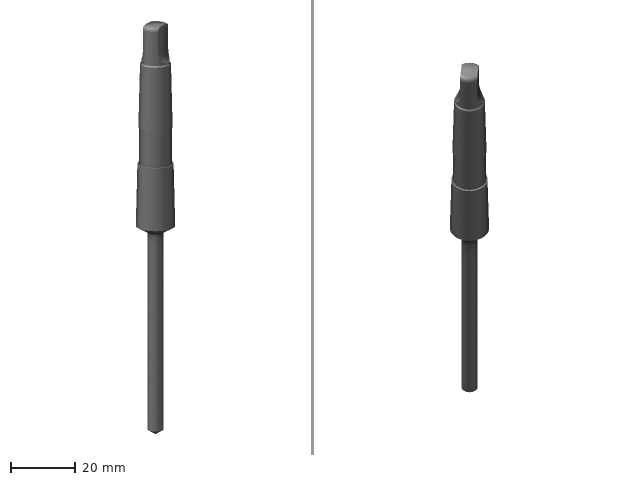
import cadquery as cq
import math

total_length = 133.0
drill_radius = 2.5
point_angle = 118.0
cutting_length = 20.0
drill_length = 55.2
tip_back_taper = 0.03
body_back_taper = 0.03

shank_start = 67.4
shank_radius = 6.1
taper_per_side = 0.025
shoulder_angle = 30.0
relief_radius = 5.0
relief_start = 87.6
relief_end = 99.4
taper_end = 120.0

tang_radius = 4.4
tang_start = 120.4
tang_corner_radius = 1.3
tang_tip_rise = 0.4
tang_half_thickness = 2.7
tang_turn = 14.0
flat_start = 124.5
runout_radius = 5.0
edge_margin = 0.1

relieved_radius = drill_radius - tip_back_taper
neck_radius = relieved_radius - body_back_taper
point_height = drill_radius / math.tan(math.radians(point_angle / 2))
shoulder_height = (shank_radius - neck_radius) * math.tan(math.radians(shoulder_angle))


def taper_radius(height):
    """Radius of the shank cone at a given height."""
    return shank_radius - (height - shank_start) * taper_per_side


def revolve_profile(outline):
    return outline.close().revolve(360, (0, 0, 0), (0, 1, 0))


def make_drill():
    """Pointed drill with a slight two-stage back taper, ending at its joint with the shank."""
    outline = (
        cq.Workplane("XZ")
        .lineTo(drill_radius, point_height)
        .lineTo(relieved_radius, cutting_length)
        .lineTo(neck_radius, drill_length)
        .lineTo(0, drill_length)
    )
    return revolve_profile(outline)


def make_shank_blank():
    """Neck, relieved taper and round tang, before the flats are cut."""
    outline = (
        cq.Workplane("XZ")
        .moveTo(0, drill_length)
        .lineTo(neck_radius, drill_length)
        .lineTo(neck_radius, shank_start - shoulder_height)
        .lineTo(shank_radius, shank_start)
        .lineTo(taper_radius(relief_start), relief_start)
        .lineTo(relief_radius, relief_start)
        .lineTo(relief_radius, relief_end)
        .lineTo(taper_radius(relief_end), relief_end)
        .lineTo(taper_radius(taper_end), taper_end)
        .lineTo(tang_radius, tang_start)
        .lineTo(tang_radius, total_length - tang_tip_rise)
        .lineTo(0, total_length)
    )
    blank = revolve_profile(outline)
    rim_height = total_length - tang_tip_rise
    rim = cq.selectors.BoxSelector(
        (-shank_radius, -shank_radius, rim_height - edge_margin),
        (shank_radius, shank_radius, rim_height + edge_margin),
        boundingbox=True,
    )
    return blank.edges(rim).fillet(tang_corner_radius)


def make_flat_cutter():
    """Cutter for one tang flat, with a rounded runout at its lower end."""
    depth = shank_radius - tang_half_thickness
    runout_drop = math.sqrt(runout_radius**2 - (runout_radius - depth) ** 2)
    middle_drop = runout_drop / 2
    middle_depth = runout_radius - math.sqrt(runout_radius**2 - middle_drop**2)
    return (
        cq.Workplane("XZ")
        .moveTo(tang_half_thickness, total_length)
        .lineTo(tang_half_thickness, flat_start)
        .threePointArc(
            (tang_half_thickness + middle_depth, flat_start - middle_drop),
            (shank_radius, flat_start - runout_drop),
        )
        .lineTo(shank_radius, total_length)
        .close()
        .extrude(shank_radius, both=True)
    )


def make_shank():
    shank = make_shank_blank()
    cutter = make_flat_cutter()
    for turn in (tang_turn, tang_turn + 180):
        shank = shank.cut(cutter.rotate((0, 0, 0), (0, 0, 1), turn))
    return shank


drill = make_drill()
shank = make_shank()
result = cq.Compound.makeCompound([drill.val(), shank.val()])